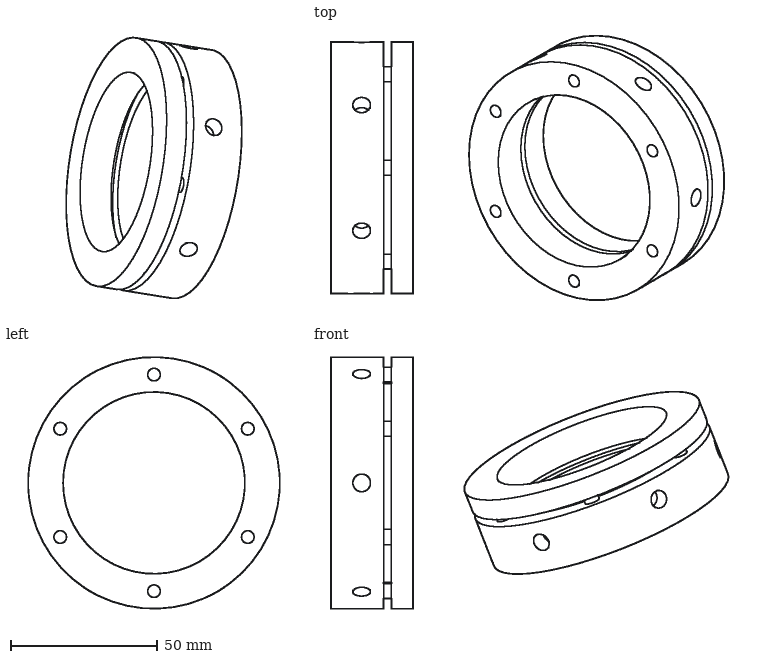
import cadquery as cq
import math

outer_diameter = 86.0
bore_diameter = 62.0
length = 28.0

outer_groove_start = 18.0
outer_groove_width = 2.7
outer_groove_floor_diameter = 68.0

inner_groove_start = 14.0
inner_groove_width = 2.5
inner_groove_diameter = 70.5

station_count = 6
station_angle = 360 / station_count
pin_circle_radius = 37.0
pin_diameter = 5.2
front_hole_diameter = 4.3
front_hole_depth = 8.6

radial_hole_diameter = 6.0
radial_hole_depth = 7.05
radial_hole_position = 10.5
drill_point_angle = 118.0

AXIS = cq.Vector(1, 0, 0)


def disc(diameter, start, thickness):
    """Solid cylinder on the X axis."""
    return cq.Workplane("YZ", origin=(start, 0, 0)).circle(diameter / 2).extrude(thickness)


def ring(outside, inside, start, thickness):
    """Plain ring on the X axis."""
    return disc(outside, start, thickness).cut(disc(inside, start, thickness))


def station_cylinder(index, diameter, start, thickness):
    """Cylinder along X at one place on the pin circle, counted from the top."""
    angle = math.radians(90 + index * station_angle)
    y = pin_circle_radius * math.cos(angle)
    z = pin_circle_radius * math.sin(angle)
    return cq.Workplane("YZ", origin=(start, y, z)).circle(diameter / 2).extrude(thickness)


def radial_drill(index):
    """Cutter for one radial hole: a straight bore with a conical end pointing at the axis."""
    radius = radial_hole_diameter / 2
    shoulder = outer_diameter / 2 - radial_hole_depth
    tip = shoulder - radius / math.tan(math.radians(drill_point_angle / 2))
    profile = [(0, tip), (radius, shoulder), (radius, outer_diameter / 2), (0, outer_diameter / 2)]
    drill = cq.Workplane("XZ").polyline(profile).close().revolve(360, (0, 0), (0, 1))
    turn = (index + 0.5) * station_angle
    return drill.rotate(cq.Vector(), AXIS, turn).translate((radial_hole_position, 0, 0))


def make_housing():
    body = ring(outer_diameter, bore_diameter, 0, length)
    body = body.cut(ring(outer_diameter, outer_groove_floor_diameter, outer_groove_start, outer_groove_width))
    body = body.cut(disc(inner_groove_diameter, inner_groove_start, inner_groove_width))
    for index in range(station_count):
        body = body.cut(station_cylinder(index, front_hole_diameter, 0, front_hole_depth))
        body = body.cut(radial_drill(index))
    return body


def make_pin(index):
    """Pin that fills the width of the outer groove."""
    return station_cylinder(index, pin_diameter, outer_groove_start, outer_groove_width)


housing = make_housing()
pins = [make_pin(index) for index in range(station_count)]

result = cq.Compound.makeCompound([housing.val(), *[pin.val() for pin in pins]])